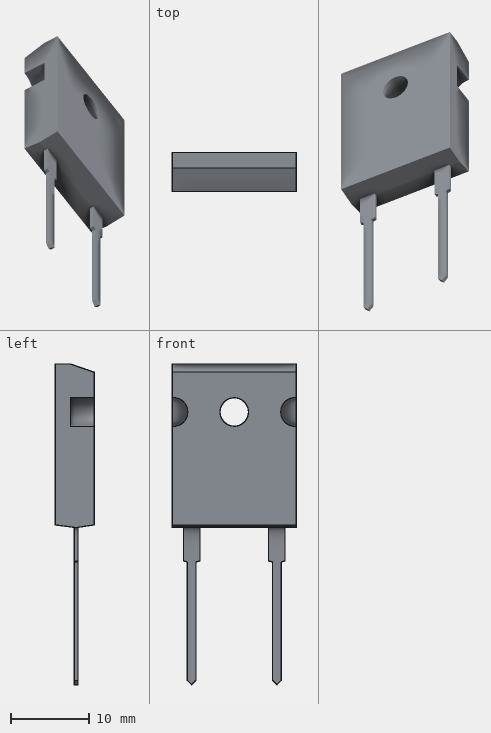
import cadquery as cq


body_width = 15.9
body_thickness = 5.03
body_height = 20.98
top_flat_depth = 2.0
top_slope_drop = 1.05
bottom_rise = 0.35

hole_diameter = 3.61
hole_drop = 6.15
notch_width = 3.7
notch_reach = 2.0
notch_depth = 3.08

total_height = 41.1
lead_pitch = 10.9
lead_thickness = 0.5
lead_back_offset = 2.7
lead_embed = 1.0
shoulder_width = 2.15
shoulder_length = 4.25
shoulder_taper = 0.15
pin_width = 1.15

front_y = -body_thickness / 2
back_y = body_thickness / 2
side_x = body_width / 2
hole_z = body_height - hole_drop
lead_y = back_y - lead_back_offset
lead_length = total_height - body_height


def make_body():
    """Side profile of the body, extruded across the full width."""
    profile = [
        (back_y, body_height),
        (back_y - top_flat_depth, body_height),
        (front_y, body_height - top_slope_drop),
        (front_y, bottom_rise),
        (lead_y, 0),
        (back_y, bottom_rise),
    ]
    return cq.Workplane("YZ").polyline(profile).close().extrude(side_x, both=True)


def make_mounting_hole():
    """Round hole through the whole thickness."""
    hole = cq.Workplane("XZ").center(0, hole_z).circle(hole_diameter / 2)
    return hole.extrude(body_thickness, both=True)


def make_notch(side):
    """Round-ended pocket, open at the front and at one side face (side is -1 or 1)."""
    radius = notch_width / 2
    arc_x = side * (side_x - notch_reach + radius)
    arc_tip_x = side * (side_x - notch_reach)
    outer_x = side * (side_x + radius)
    top_z = hole_z + radius
    bottom_z = hole_z - radius
    outline = (
        cq.Workplane("XZ", origin=(0, front_y, 0))
        .moveTo(outer_x, top_z)
        .lineTo(arc_x, top_z)
        .threePointArc((arc_tip_x, hole_z), (arc_x, bottom_z))
        .lineTo(outer_x, bottom_z)
        .close()
    )
    return outline.extrude(-notch_depth)


def make_lead(center_x):
    """Flat lead with a wide shoulder, a narrow pin and a right-angled point."""
    shoulder_half = shoulder_width / 2
    pin_half = pin_width / 2
    right_edge = [
        (shoulder_half, lead_embed),
        (shoulder_half, -shoulder_length),
        (pin_half, -shoulder_length - shoulder_taper),
        (pin_half, -lead_length + pin_half),
    ]
    left_edge = [(-x, z) for x, z in reversed(right_edge)]
    outline = right_edge + [(0, -lead_length)] + left_edge
    plane = cq.Workplane("XZ", origin=(center_x, lead_y, 0))
    return plane.polyline(outline).close().extrude(lead_thickness / 2, both=True)


result = make_body().cut(make_mounting_hole())
for side in (-1, 1):
    result = result.cut(make_notch(side))
    result = result.union(make_lead(side * lead_pitch / 2))